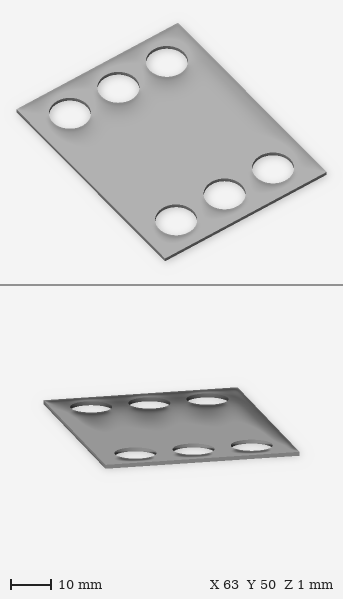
import cadquery as cq

length = 63.0
width = 50.0
thickness = 1.0

hole_diameter = 10.5
column_spacing = 45.0
row_pitch = 15.0
column_count = 2
row_count = 3

plate = cq.Workplane("XY").box(length, width, thickness)

result = (
    plate.faces(">Z")
    .workplane()
    .rarray(column_spacing, row_pitch, column_count, row_count)
    .hole(hole_diameter)
)